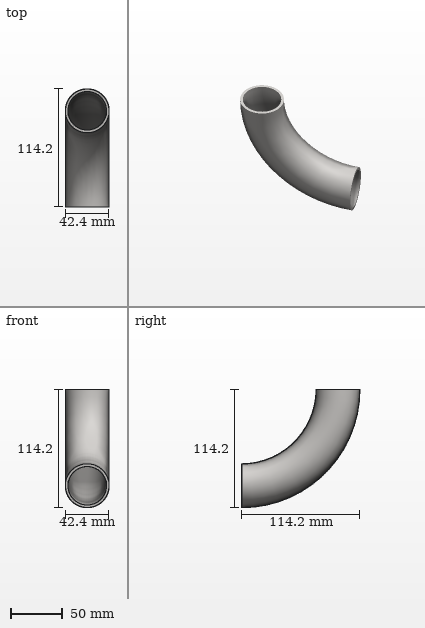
import cadquery as cq

outer_reach = 114.2
outer_diameter = 42.4
wall = 2.6
bend_angle = 90.0

inner_diameter = outer_diameter - 2 * wall
bend_radius = outer_reach - outer_diameter / 2


def make_elbow():
    """Revolve the pipe's ring section about the X axis, from the top end to the -Y end."""
    ring = (
        cq.Workplane("XY")
        .center(0, bend_radius)
        .circle(outer_diameter / 2)
        .circle(inner_diameter / 2)
    )
    return ring.revolve(bend_angle, (0, -bend_radius), (-1, -bend_radius))


result = make_elbow()